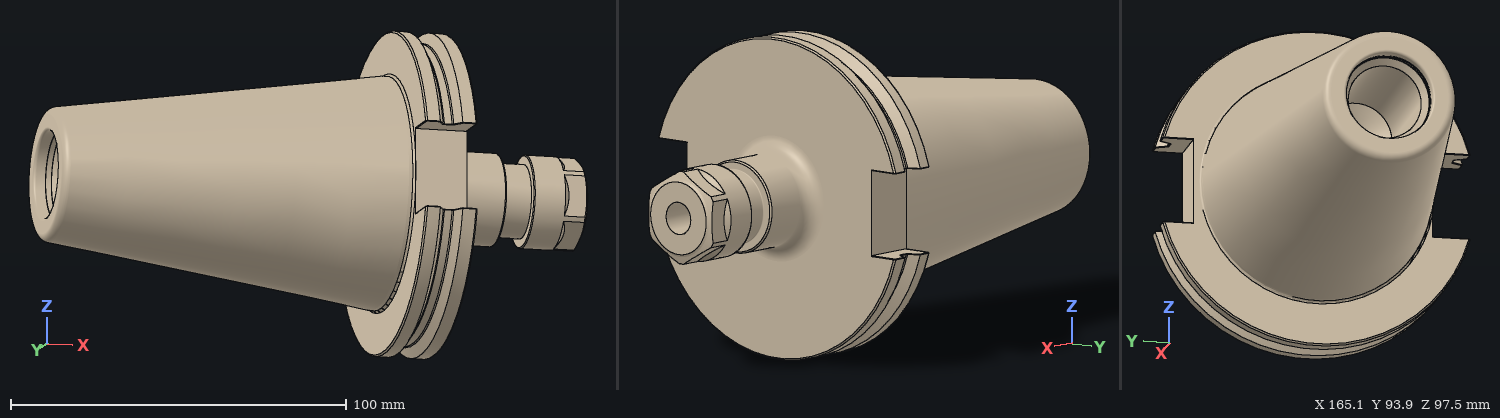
import cadquery as cq
import math

total_length = 165.1
collar_start = 102.9
flange_start = 104.7
flange_end = 120.7
nose_end = 139.2
nut_start = 147.6
hex_start = 157.4

collar_diameter = 70.2
taper_per_length = 7 / 24
small_end_round = 2.5
collar_root_round = 0.75

flange_diameter = 97.5
flange_chamfer = 0.5
groove_centre = 112.6
groove_depth = 3.5
groove_floor_width = 3.0
groove_flank_angle = 30.0
groove_corner_round = 0.5
slot_width = 25.8
slot_chamfer = 0.25
slot_floor_front = 35.3
slot_floor_back = 37.6

nose_diameter = 28.0
nose_root_round = 5.0
nose_chamfer = 0.5
neck_diameter = 22.3
neck_root_round = 0.3

through_diameter = 9.7
bore_diameter = 26.3
mouth_diameter = 28.0
relief_diameter = 26.7
relief_start = 3.8
relief_end = 5.6
drill_diameter = 22.3
drill_start = 7.6
drill_end = 49.5
drill_point_angle = 120.0

nut_diameter = 28.0
nut_rear_chamfer = 0.3
hex_across_flats = 25.1
nut_bevel_diameter = 23.6
nut_bevel_length = 0.8
nut_face_diameter = 22.0
nut_face_chamfer_length = 0.5


quarter_arc_midpoint = 1 - math.sqrt(0.5)


def revolve_about_x(profile):
    """Turn a closed profile of (x, radius) points about the X axis."""
    return profile.close().revolve(360, (0, 0, 0), (1, 0, 0))


def tapered_shank():
    """Cone with a rounded small end, closed by a short cylindrical collar."""
    collar_radius = collar_diameter / 2
    small_end_radius = collar_radius - collar_start * taper_per_length / 2
    cone = revolve_about_x(
        cq.Workplane("XY")
        .lineTo(0, small_end_radius)
        .lineTo(collar_start, collar_radius)
        .lineTo(flange_start, collar_radius)
        .lineTo(flange_start, 0)
    )
    return cone.faces("<X").edges().fillet(small_end_round)


def collar_root():
    """Concave round that joins the collar to the flange face."""
    radius = collar_diameter / 2
    mid = collar_root_round * quarter_arc_midpoint
    return revolve_about_x(
        cq.Workplane("XY")
        .moveTo(flange_start - collar_root_round, 0)
        .lineTo(flange_start - collar_root_round, radius)
        .threePointArc((flange_start - mid, radius + mid), (flange_start, radius + collar_root_round))
        .lineTo(flange_start, 0)
    )


def flange():
    """Chamfered disc with a V groove round its rim."""
    disc = (
        cq.Workplane("YZ", origin=(flange_start, 0, 0))
        .circle(flange_diameter / 2)
        .extrude(flange_end - flange_start)
        .edges()
        .chamfer(flange_chamfer)
    )
    rim_radius = flange_diameter / 2
    floor_radius = rim_radius - groove_depth
    floor_half = groove_floor_width / 2
    rim_half = floor_half + groove_depth * math.tan(math.radians(groove_flank_angle))
    groove = revolve_about_x(
        cq.Workplane("XY")
        .moveTo(groove_centre - floor_half, floor_radius)
        .lineTo(groove_centre + floor_half, floor_radius)
        .lineTo(groove_centre + rim_half, rim_radius)
        .lineTo(groove_centre - rim_half, rim_radius)
    )
    floor_corners = cq.selectors.RadiusNthSelector(0)
    return disc.cut(groove.edges(floor_corners).fillet(groove_corner_round))


def nose():
    """Cylinder in front of the flange with a rounded root, ending in a thinner neck."""
    radius = nose_diameter / 2
    neck_radius = neck_diameter / 2
    mid = nose_root_round * quarter_arc_midpoint
    neck_mid = neck_root_round * quarter_arc_midpoint
    return revolve_about_x(
        cq.Workplane("XY")
        .moveTo(flange_end, 0)
        .lineTo(flange_end, radius + nose_root_round)
        .threePointArc((flange_end + mid, radius + mid), (flange_end + nose_root_round, radius))
        .lineTo(nose_end - nose_chamfer, radius)
        .lineTo(nose_end, radius - nose_chamfer)
        .lineTo(nose_end, neck_radius + neck_root_round)
        .threePointArc(
            (nose_end + neck_mid, neck_radius + neck_mid),
            (nose_end + neck_root_round, neck_radius),
        )
        .lineTo(nut_start, neck_radius)
        .lineTo(nut_start, 0)
    )


def driving_slot(side, floor_distance):
    """Slot through the flange on the given side of the Y axis (+1 or -1)."""
    depth = flange_diameter / 2 - floor_distance
    centre_x = (flange_start + flange_end) / 2
    centre_y = side * (floor_distance + depth / 2)
    block = cq.Workplane("XY").box(flange_end - flange_start, depth, slot_width)
    return block.translate((centre_x, centre_y, 0))


def slotted_flange():
    """Flange with both driving slots, the free edges of the slot walls chamfered."""
    body = flange().cut(driving_slot(-1, slot_floor_front)).cut(driving_slot(1, slot_floor_back))
    wall_edges = []
    for wall in body.faces("|Z").vals():
        floor_distance = slot_floor_back if wall.Center().y > 0 else slot_floor_front
        clear_of_floor = floor_distance + slot_chamfer
        wall_edges += [edge for edge in wall.Edges() if abs(edge.Center().y) > clear_of_floor]
    return body.newObject(wall_edges).chamfer(slot_chamfer)


def holder_bore():
    """Bore with a rounded mouth and a shallow relief, then a pointed drilling and a through hole."""
    bore_radius = bore_diameter / 2
    relief_radius = relief_diameter / 2
    drill_radius = drill_diameter / 2
    through_radius = through_diameter / 2
    mouth_round = (mouth_diameter - bore_diameter) / 2
    mid = mouth_round * quarter_arc_midpoint
    point_length = (drill_radius - through_radius) / math.tan(math.radians(drill_point_angle / 2))
    return revolve_about_x(
        cq.Workplane("XY")
        .lineTo(0, bore_radius + mouth_round)
        .threePointArc((mid, bore_radius + mid), (mouth_round, bore_radius))
        .lineTo(relief_start, bore_radius)
        .lineTo(relief_start, relief_radius)
        .lineTo(relief_end, relief_radius)
        .lineTo(relief_end, bore_radius)
        .lineTo(drill_start, drill_radius)
        .lineTo(drill_end, drill_radius)
        .lineTo(drill_end + point_length, through_radius)
        .lineTo(nut_start, through_radius)
        .lineTo(nut_start, 0)
    )


def make_holder():
    """Taper shank, slotted flange and nose in one piece with the stepped bore along its axis."""
    body = tapered_shank().union(collar_root()).union(slotted_flange()).union(nose())
    return body.cut(holder_bore())


def make_nut():
    """Round nut with a hexagonal front part and a double bevel at its front face."""
    radius = nut_diameter / 2
    bevel_end = total_length - nut_face_chamfer_length
    blank = revolve_about_x(
        cq.Workplane("XY")
        .moveTo(nut_start, 0)
        .lineTo(nut_start, radius - nut_rear_chamfer)
        .lineTo(nut_start + nut_rear_chamfer, radius)
        .lineTo(bevel_end - nut_bevel_length, radius)
        .lineTo(bevel_end, nut_bevel_diameter / 2)
        .lineTo(total_length, nut_face_diameter / 2)
        .lineTo(total_length, 0)
    )
    corner_radius = hex_across_flats / 2 / math.cos(math.radians(30))
    hexagon = (
        cq.Workplane("YZ", origin=(hex_start, 0, 0))
        .transformed(rotate=(0, 0, 90))
        .polygon(6, 2 * corner_radius)
        .extrude(total_length - hex_start)
    )
    runout = revolve_about_x(
        cq.Workplane("XY")
        .moveTo(nut_start, 0)
        .lineTo(nut_start, radius)
        .lineTo(hex_start, radius)
        .lineTo(hex_start + radius, 0)
    )
    through_hole = (
        cq.Workplane("YZ", origin=(nut_start, 0, 0))
        .circle(through_diameter / 2)
        .extrude(total_length - nut_start)
    )
    return blank.intersect(hexagon.union(runout)).cut(through_hole)


holder = make_holder()
nut = make_nut()

result = cq.Compound.makeCompound([holder.val(), nut.val()])